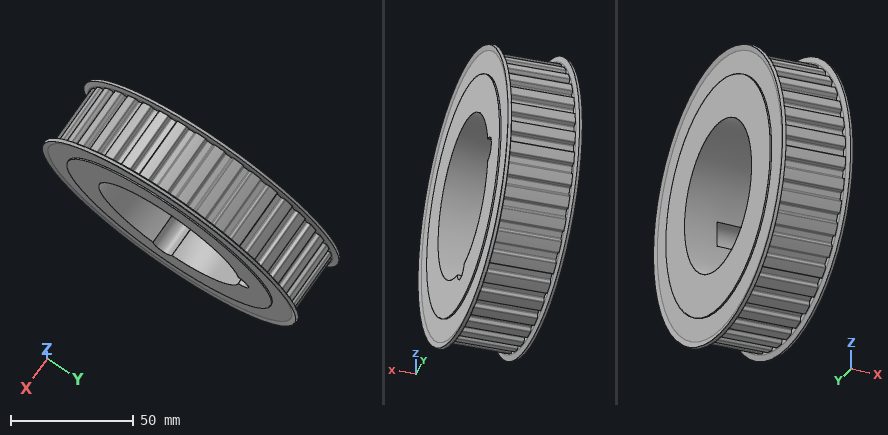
import math

import cadquery as cq


TOOTH_COUNT = 40
BELT_PITCH = 9.525
PITCH_LINE_OFFSET = 0.381
GROOVE_BOTTOM_WIDTH = 3.05
GROOVE_DEPTH = 2.0
GROOVE_FLANK_ANGLE = 20.0
TOOTH_TIP_FILLET = 0.3
GROOVE_ROOT_FILLET = 0.4
TIP_RADIUS = TOOTH_COUNT * BELT_PITCH / (2 * math.pi) - PITCH_LINE_OFFSET
ROOT_RADIUS = TIP_RADIUS - GROOVE_DEPTH

OVERALL_WIDTH = 31.88
FLANGE_RADIUS = 127.0 / 2
FLANGE_SHEET = 1.5
FLANGE_BEND_ANGLE = math.radians(17)
INNER_BEND_RADIUS = 60.9
OUTER_BEND_RADIUS = INNER_BEND_RADIUS - FLANGE_SHEET * math.tan(FLANGE_BEND_ANGLE / 2)
RIM_OUTER_X = OVERALL_WIDTH / 2
RIM_OUTER_RADIUS = FLANGE_RADIUS - FLANGE_SHEET * math.sin(FLANGE_BEND_ANGLE)
RIM_INNER_X = RIM_OUTER_X - FLANGE_SHEET * math.cos(FLANGE_BEND_ANGLE)
FLANGE_INNER_X = RIM_INNER_X - (FLANGE_RADIUS - INNER_BEND_RADIUS) * math.tan(FLANGE_BEND_ANGLE)
FLANGE_OUTER_X = FLANGE_INNER_X + FLANGE_SHEET

HUB_LENGTH = 31.75
HUB_RADIUS = 101.8 / 2
BORE_LARGE_RADIUS = 69.85 / 2
BORE_HALF_ANGLE = math.radians(4)
BORE_SMALL_RADIUS = BORE_LARGE_RADIUS - HUB_LENGTH * math.tan(BORE_HALF_ANGLE)
HUB_FACE_X = HUB_LENGTH / 2

SCREW_CIRCLE_RADIUS = 34.0
FLAT_RECESS_RADIUS = 5.5
FLAT_RECESS_DEPTH = 16.7
FLAT_RECESS_ANGLE = 0.0
DRILLED_RECESS_RADIUS = 4.75
DRILLED_RECESS_DEPTH = 25.7
DRILLED_RECESS_ANGLE = -95.4
DRILL_POINT_ANGLE = 118.0


def make_toothed_disc():
    """Solid disc with rounded belt teeth, filling the space between the flanges."""
    face_width = 2 * FLANGE_INNER_X
    flank_slope = math.tan(math.radians(GROOVE_FLANK_ANGLE))
    root_half = GROOVE_BOTTOM_WIDTH / 2
    open_half = root_half + (INNER_BEND_RADIUS - ROOT_RADIUS) * flank_slope
    start = cq.Workplane("YZ", origin=(-FLANGE_INNER_X, 0, 0))
    groove = (
        start.polyline([
            (ROOT_RADIUS, -root_half),
            (INNER_BEND_RADIUS, -open_half),
            (INNER_BEND_RADIUS, open_half),
            (ROOT_RADIUS, root_half),
        ])
        .close()
        .extrude(face_width)
        .val()
    )
    pitch_angle = 360 / TOOTH_COUNT
    grooves = [groove.rotate((0, 0, 0), (1, 0, 0), i * pitch_angle) for i in range(TOOTH_COUNT)]
    disc = start.circle(TIP_RADIUS).extrude(face_width).val().cut(*grooves)

    def is_tip(edge):
        center = edge.Center()
        return math.hypot(center.y, center.z) > TIP_RADIUS - GROOVE_DEPTH / 2

    teeth = cq.Workplane(disc)
    teeth = teeth.edges("|X").filter(is_tip).fillet(TOOTH_TIP_FILLET)
    return teeth.edges("|X").filter(lambda edge: not is_tip(edge)).fillet(GROOVE_ROOT_FILLET)


def make_flanged_end():
    """Flange and hub end on the +X side, as a solid of revolution."""
    outline = [
        (FLANGE_INNER_X, 0),
        (FLANGE_INNER_X, INNER_BEND_RADIUS),
        (RIM_INNER_X, FLANGE_RADIUS),
        (RIM_OUTER_X, RIM_OUTER_RADIUS),
        (FLANGE_OUTER_X, OUTER_BEND_RADIUS),
        (FLANGE_OUTER_X, HUB_RADIUS),
        (HUB_FACE_X, HUB_RADIUS),
        (HUB_FACE_X, 0),
    ]
    return cq.Workplane("XY").polyline(outline).close().revolve(360, (0, 0, 0), (1, 0, 0))


def make_taper_bore():
    """Conical bore through the whole hub, wider at +X."""
    outline = [
        (-HUB_FACE_X, 0),
        (-HUB_FACE_X, BORE_SMALL_RADIUS),
        (HUB_FACE_X, BORE_LARGE_RADIUS),
        (HUB_FACE_X, 0),
    ]
    return cq.Workplane("XY").polyline(outline).close().revolve(360, (0, 0, 0), (1, 0, 0))


def recess_floor_center(depth, angle):
    """Center of a screw recess where its full diameter ends."""
    y = SCREW_CIRCLE_RADIUS * math.cos(math.radians(angle))
    z = SCREW_CIRCLE_RADIUS * math.sin(math.radians(angle))
    return cq.Vector(HUB_FACE_X - depth, y, z)


def make_flat_recess(radius, depth, angle):
    """Flat-ended cylinder parallel to the X axis, sunk from the +X hub face."""
    center = recess_floor_center(depth, angle)
    return cq.Workplane(cq.Solid.makeCylinder(radius, depth, center, cq.Vector(1, 0, 0)))


def make_drilled_recess(radius, depth, angle):
    """Cylinder sunk from the +X hub face, ending in a conical drill point."""
    center = recess_floor_center(depth, angle)
    point_height = radius / math.tan(math.radians(DRILL_POINT_ANGLE / 2))
    point = cq.Solid.makeCone(radius, 0, point_height, center, cq.Vector(-1, 0, 0))
    return make_flat_recess(radius, depth, angle).union(cq.Workplane(point))


flanged_end = make_flanged_end()
body = make_toothed_disc().union(flanged_end).union(flanged_end.mirror("YZ"))
body = body.cut(make_taper_bore())
body = body.cut(make_flat_recess(FLAT_RECESS_RADIUS, FLAT_RECESS_DEPTH, FLAT_RECESS_ANGLE))
body = body.cut(make_drilled_recess(DRILLED_RECESS_RADIUS, DRILLED_RECESS_DEPTH, DRILLED_RECESS_ANGLE))
result = cq.Workplane(body.solids().val())